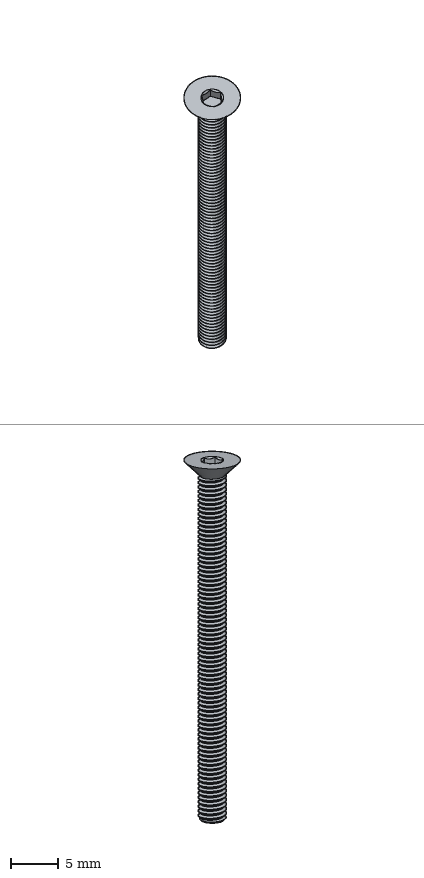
import cadquery as cq
import math

LENGTH = 40.0
HEAD_DIAMETER = 6.0
THREAD_DIAMETER = 3.0
PITCH = 0.5

THREAD_DEPTH = 0.6134 * PITCH
CREST_WIDTH = PITCH / 8
FLANK_SLOPE = math.tan(math.radians(30))
THREAD_DROP = 0.1
ROOT_OVERLAP = 0.05

SOCKET_WIDTH = 2.0
SOCKET_DEPTH = 1.1
SOCKET_MOUTH_DIAMETER = 2.4
SOCKET_CORNER_DIAMETER = SOCKET_WIDTH / math.cos(math.radians(30))

HEAD_RADIUS = HEAD_DIAMETER / 2
CREST_RADIUS = THREAD_DIAMETER / 2
ROOT_RADIUS = CREST_RADIUS - THREAD_DEPTH
HEAD_HEIGHT = HEAD_RADIUS - CREST_RADIUS
SHANK_LENGTH = LENGTH - HEAD_HEIGHT

TURNS = round(SHANK_LENGTH / PITCH)
TIP_TURNS = 2
SPARE_TURNS = 1
BLANK_MARGIN = 1.0


def thread_ridge(start_z, height):
    """Right-hand helical ridge with a trapezoidal section; start_z is the section's middle."""
    inner_radius = ROOT_RADIUS - ROOT_OVERLAP
    half_crest = CREST_WIDTH / 2
    half_base = half_crest + (CREST_RADIUS - inner_radius) * FLANK_SLOPE
    section = [
        (inner_radius, -half_base),
        (CREST_RADIUS, -half_crest),
        (CREST_RADIUS, half_crest),
        (inner_radius, half_base),
    ]
    edges = [
        cq.Wire.makeHelix(PITCH, height, radius).translate(cq.Vector(0, 0, start_z + offset))
        for radius, offset in section
    ]
    faces = []
    for edge, next_edge in zip(edges, edges[1:] + edges[:1]):
        faces.extend(cq.Face.makeRuledSurface(edge, next_edge).Faces())
    for helix_end in (0, 1):
        corners = [edge.positionAt(helix_end) for edge in edges]
        faces.append(cq.Face.makeFromWires(cq.Wire.makePolygon(corners, close=True)))
    return cq.Workplane(cq.Solid.makeSolid(cq.Shell.makeShell(faces)))


def cylinder(radius, height):
    """Plain cylinder standing on Z = 0."""
    return cq.Workplane("XY").circle(radius).extrude(height)


def thread_segment(turns, blank):
    """Threaded rod standing on Z = 0, its ridge trimmed to the given blank."""
    start_z = -SPARE_TURNS * PITCH - THREAD_DROP
    ridge = thread_ridge(start_z, (turns + 2 * SPARE_TURNS) * PITCH)
    return cylinder(ROOT_RADIUS, turns * PITCH).union(ridge.intersect(blank))


def thread_turn():
    """One full turn of the thread between two flat ends."""
    return thread_segment(1, cylinder(CREST_RADIUS + BLANK_MARGIN, PITCH))


def thread_tip():
    """Lowest turns, with a 45 degree chamfer down to the root at the tip."""
    blank = cylinder(CREST_RADIUS, TIP_TURNS * PITCH).faces("<Z").chamfer(THREAD_DEPTH)
    return thread_segment(TIP_TURNS, blank)


def cone(bottom_z, bottom_radius, top_radius):
    """45 degree cone that widens upwards."""
    solid = cq.Solid.makeCone(
        bottom_radius, top_radius, top_radius - bottom_radius, cq.Vector(0, 0, bottom_z)
    )
    return cq.Workplane(solid)


def socket(top_z):
    """Hexagonal pocket with a countersunk mouth."""
    plane = cq.Workplane("XY").workplane(offset=top_z).transformed(rotate=(0, 0, 30))
    hexagon = plane.polygon(6, SOCKET_CORNER_DIAMETER).extrude(-SOCKET_DEPTH)
    mouth_radius = SOCKET_MOUTH_DIAMETER / 2
    flat_radius = SOCKET_WIDTH / 2
    return hexagon.union(cone(top_z - mouth_radius + flat_radius, flat_radius, mouth_radius))


def head_on_turn(turn):
    """Countersunk head whose cone runs down to the root of the last thread turn."""
    neck_radius = ROOT_RADIUS - ROOT_OVERLAP
    head = cone(PITCH - CREST_RADIUS + neck_radius, neck_radius, HEAD_RADIUS)
    return turn.union(head).cut(socket(PITCH + HEAD_HEIGHT))


def faces_without_caps(segment, cap_selectors):
    """Faces of a segment without the flat caps where it joins its neighbours."""
    caps = [segment.faces(selector).val() for selector in cap_selectors]
    return [face for face in segment.faces().vals() if not any(face.isSame(cap) for cap in caps)]


def screw():
    """Stack the segments along Z and sew their outer faces into one solid."""
    turn = thread_turn()
    middle_faces = faces_without_caps(turn, ["<Z", ">Z"])
    faces = faces_without_caps(thread_tip(), [">Z"])
    for index in range(TIP_TURNS, TURNS - 1):
        place = cq.Location(cq.Vector(0, 0, index * PITCH))
        faces.extend(face.moved(place) for face in middle_faces)
    last_place = cq.Location(cq.Vector(0, 0, (TURNS - 1) * PITCH))
    last_faces = faces_without_caps(head_on_turn(turn), ["<Z"])
    faces.extend(face.moved(last_place) for face in last_faces)
    return cq.Workplane(cq.Solid.makeSolid(cq.Shell.makeShell(faces)))


result = screw()